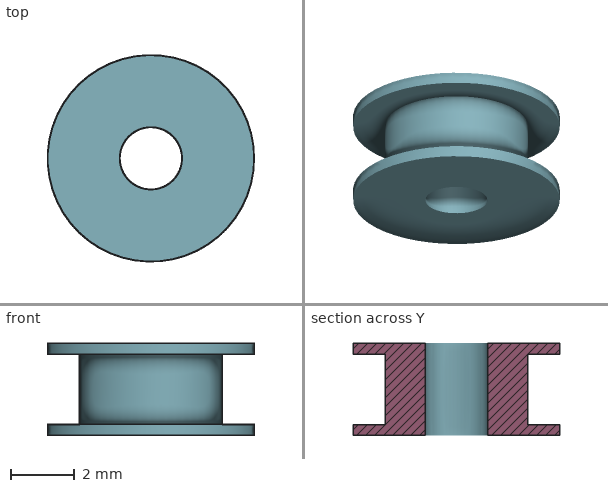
import cadquery as cq

flange_diameter = 6.5
hub_diameter = 4.5
bore_diameter = 1.95
total_height = 2.9
flange_thickness = 0.35

hub_height = total_height - 2 * flange_thickness


def add_disc(body, diameter, height):
    """Stack a coaxial disc on top of the body."""
    return body.faces(">Z").workplane().circle(diameter / 2).extrude(height)


spool = cq.Workplane("XY").circle(flange_diameter / 2).extrude(flange_thickness)

spool = add_disc(spool, hub_diameter, hub_height)
spool = add_disc(spool, flange_diameter, flange_thickness)

result = spool.faces(">Z").workplane().hole(bore_diameter)